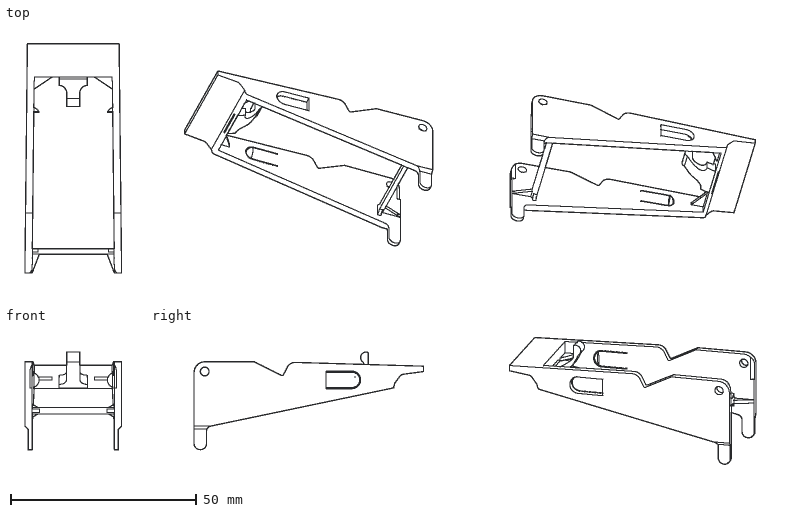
import cadquery as cq
import math


length = 62.05
front_half_width = 26.21 / 2
rear_half_width = 12.43
arm_thickness = 2.0
bridge_front_y = 53.0

rear_top_z = 22.62
rear_bottom_z = 21.1
front_top_z = 23.8
front_corner_radius = 3.0
notch_front_y = 16.3
notch_bottom = (24.0, 19.95)
notch_bottom_radius = 0.35
notch_rear = (25.9, 23.68)
notch_rear_radius = 2.4
lip_front = (56.0, 20.3)
lip_front_radius = 1.2
belly_shoulder = (54.3, 18.0)
belly_rear = (54.0, 16.7)
belly_rear_radius = 1.0
belly_slope = math.tan(math.radians(11.8))

foot_length = 3.42
foot_root_radius = 1.4
foot_tip_flat = 0.01
foot_relief_depth = 0.9
foot_relief_z = 5.55

pivot_y = 2.9
pivot_z = 21.15
pivot_diameter = 2.3
edge_relief_x = 0.6
edge_relief_y = 1.0
edge_relief_bottom_z = 16.75

window_radius = 2.33
window_front_y = 35.75
window_rear_y = 45.0
window_z = 18.88
tongue_thickness = 0.5
tongue_gap = 0.2
lug_radius = 2.25
lug_center_depth = 0.7
lug_front_y = 43.46
lug_slope_bottom_z = 19.3
lug_slope_angle = 10

rod_y = 6.0
rod_z = 10.55
rod_radius = 0.9
rod_rear_y = 6.65
web_thickness = 0.95
upright_web_half_height = 1.8
upright_web_reach = 2.9
flat_web_reach = 1.9

corner_web_x = 4.85
corner_web_y = 3.3
corner_web_bottom_z = 18.8
corner_web_thickness = 0.9

hook_root_width = 7.66
hook_tip_width = 3.6
hook_root_front_y = 50.7
hook_flare_radius = (hook_root_width - hook_tip_width) / 2

hook_bottom_z = 16.75
hook_belly = (49.3, 18.6)
hook_belly_end = (47.0, 21.2)
hook_nose_bottom = (45.7, 23.65)
hook_nose_tip = (45.05, 24.65)
hook_top_z = 26.44
hook_crest_y = 46.6
hook_back_y = 47.14
hook_back_radius = hook_back_y - hook_crest_y
hook_neck_top = (hook_back_y, 23.3)
hook_neck = (47.45, 22.4)
hook_neck_bottom = (48.1, 21.7)
hook_trough = (50.3, 20.3)
hook_trough_end = (52.4, 19.65)
hook_root_top_z = 19.85

span = 2 * front_half_width
embed_depth = arm_thickness / 2
clearance = 1.0


def outer_x(y):
    """Half width over the outer arm faces at a given Y."""
    return front_half_width + (rear_half_width - front_half_width) * y / length


def inner_x(y):
    """Half width between the inner arm faces at a given Y."""
    return outer_x(y) - arm_thickness


def across(profile, width):
    """Extrude a YZ profile symmetrically in X."""
    return profile.extrude(width / 2, both=True)


def both_sides(body):
    """Add the mirror image of a body on the -X side."""
    return body.union(body.mirror("YZ"))


def make_frame():
    """Side profile across the full width, trimmed to a tapered U in plan."""
    foot_root_z = belly_rear[1] - belly_slope * (belly_rear[0] - foot_length)
    profile = (
        cq.Workplane("YZ")
        .moveTo(0, 0)
        .lineTo(0, front_top_z)
        .lineTo(notch_front_y, front_top_z)
        .lineTo(*notch_bottom)
        .lineTo(*notch_rear)
        .lineTo(length, rear_top_z)
        .lineTo(length, rear_bottom_z)
        .lineTo(*lip_front)
        .lineTo(*belly_shoulder)
        .lineTo(*belly_rear)
        .lineTo(foot_length, foot_root_z)
        .lineTo(foot_length, 0)
        .close()
    )
    blank = across(profile, span)

    def round_edge(body, y, z, radius):
        nearest = cq.selectors.NearestToPointSelector((0, y, z))
        return body.edges("|X").edges(nearest).fillet(radius)

    foot_tip_radius = foot_length / 2 - foot_tip_flat / 2
    rounded_corners = [
        (0, front_top_z, front_corner_radius),
        (*notch_bottom, notch_bottom_radius),
        (*notch_rear, notch_rear_radius),
        (*lip_front, lip_front_radius),
        (*belly_rear, belly_rear_radius),
        (foot_length, foot_root_z, foot_root_radius),
        (0, 0, foot_tip_radius),
        (foot_length, 0, foot_tip_radius),
    ]
    for y, z, radius in rounded_corners:
        blank = round_edge(blank, y, z, radius)

    plan = (
        cq.Workplane("XY")
        .polyline([
            (-outer_x(0), 0),
            (-outer_x(length), length),
            (outer_x(length), length),
            (outer_x(0), 0),
            (inner_x(0), 0),
            (inner_x(bridge_front_y), bridge_front_y),
            (-inner_x(bridge_front_y), bridge_front_y),
            (-inner_x(0), 0),
        ])
        .close()
        .extrude(hook_top_z)
    )
    return blank.intersect(plan)


def make_foot_relief():
    """Material removed from the outside of the +X foot, ending in a 45 degree slope."""
    relief_x = front_half_width - foot_relief_depth
    outside_x = front_half_width + clearance
    return (
        cq.Workplane("XZ")
        .polyline([
            (relief_x, -clearance),
            (relief_x, foot_relief_z),
            (outside_x, foot_relief_z + outside_x - relief_x),
            (outside_x, -clearance),
        ])
        .close()
        .extrude(-2 * foot_length)
    )


def make_edge_relief():
    """Bevel on the inner front edge of the +X arm, above a flat step."""
    return (
        cq.Workplane("XY", origin=(0, 0, edge_relief_bottom_z))
        .polyline([
            (inner_x(0) + edge_relief_x, 0),
            (inner_x(edge_relief_y), edge_relief_y),
            (inner_x(0) - clearance, 0),
        ])
        .close()
        .extrude(hook_top_z - edge_relief_bottom_z)
    )


def make_window(radius):
    """Bar along X with a round rear end, centred on the window."""
    center_y = window_rear_y - window_radius
    profile = (
        cq.Workplane("YZ")
        .moveTo(window_front_y, window_z - radius)
        .lineTo(center_y, window_z - radius)
        .threePointArc((center_y + radius, window_z), (center_y, window_z + radius))
        .lineTo(window_front_y, window_z + radius)
        .close()
    )
    return profile.extrude(span)


def make_tongue():
    """Thin tongue flush with the inner face of the +X arm, with a domed lug at its end.

    The lug stops at a face that is upright below and leans back above.
    """
    skin = (
        cq.Workplane("XY")
        .polyline([
            (inner_x(0), 0),
            (inner_x(length), length),
            (inner_x(length) + tongue_thickness, length),
            (inner_x(0) + tongue_thickness, 0),
        ])
        .close()
        .extrude(hook_top_z)
    )
    tongue = make_window(window_radius - tongue_gap).intersect(skin)
    lug_y = window_rear_y - window_radius
    lug_x = inner_x(lug_y) + lug_center_depth
    dome = cq.Workplane("XY").sphere(lug_radius).translate((lug_x, lug_y, window_z))
    slope_run = lug_radius * math.tan(math.radians(lug_slope_angle))
    behind_stop_face = (
        cq.Workplane("YZ")
        .polyline([
            (lug_front_y, 0),
            (lug_front_y, lug_slope_bottom_z),
            (lug_front_y + slope_run, lug_slope_bottom_z + lug_radius),
            (length, lug_slope_bottom_z + lug_radius),
            (length, 0),
        ])
        .close()
        .extrude(inner_x(lug_y) + tongue_thickness / 2)
    )
    return tongue.union(dome.intersect(behind_stop_face))


def make_rod():
    """Cross rod with a round front and a flat back."""
    profile = (
        cq.Workplane("YZ")
        .moveTo(rod_rear_y, rod_z - rod_radius)
        .lineTo(rod_y, rod_z - rod_radius)
        .threePointArc((rod_y - rod_radius, rod_z), (rod_y, rod_z + rod_radius))
        .lineTo(rod_rear_y, rod_z + rod_radius)
        .close()
    )
    return across(profile, 2 * (inner_x(rod_y) + embed_depth))


def make_rod_webs():
    """Upright and flat triangular webs at the +X end of the rod."""
    root_x = inner_x(rod_y)
    embed_x = root_x + embed_depth
    upright = (
        cq.Workplane("XZ", origin=(0, rod_rear_y, rod_z))
        .polyline([
            (embed_x, upright_web_half_height),
            (root_x, upright_web_half_height),
            (root_x - upright_web_reach, 0),
            (root_x, -upright_web_half_height),
            (embed_x, -upright_web_half_height),
        ])
        .close()
        .extrude(web_thickness)
    )
    flat = (
        cq.Workplane("XY", origin=(0, 0, rod_z - web_thickness / 2))
        .polyline([
            (embed_x, 0),
            (inner_x(0), 0),
            (root_x - flat_web_reach, rod_y - rod_radius),
            (root_x - flat_web_reach, rod_y),
            (embed_x, rod_y),
        ])
        .close()
        .extrude(web_thickness)
    )
    return upright.union(flat)


def make_corner_web():
    """Triangular web between the bridge and the +X arm."""
    corner_x = inner_x(bridge_front_y)
    web_front_y = bridge_front_y - corner_web_y
    return (
        cq.Workplane("XY", origin=(0, 0, corner_web_bottom_z))
        .polyline([
            (corner_x - corner_web_x, bridge_front_y + embed_depth),
            (corner_x - corner_web_x, bridge_front_y),
            (inner_x(web_front_y), web_front_y),
            (corner_x + embed_depth, web_front_y),
            (corner_x + embed_depth, bridge_front_y + embed_depth),
        ])
        .close()
        .extrude(corner_web_thickness)
    )


def make_hook():
    """Upswept hook: a curved side profile trimmed to a flared outline in plan."""
    root_y = bridge_front_y + embed_depth
    profile = (
        cq.Workplane("YZ")
        .moveTo(root_y, hook_bottom_z)
        .lineTo(bridge_front_y, hook_bottom_z)
        .threePointArc(hook_belly, hook_belly_end)
        .lineTo(*hook_nose_bottom)
        .threePointArc(hook_nose_tip, (hook_crest_y, hook_top_z))
        .radiusArc((hook_back_y, hook_top_z - hook_back_radius), hook_back_radius)
        .lineTo(*hook_neck_top)
        .threePointArc(hook_neck, hook_neck_bottom)
        .threePointArc(hook_trough, hook_trough_end)
        .lineTo(bridge_front_y, hook_root_top_z)
        .lineTo(root_y, hook_root_top_z)
        .close()
    )
    root_x = hook_root_width / 2
    tip_x = hook_tip_width / 2
    flare_front_y = hook_root_front_y - hook_flare_radius
    bend = hook_flare_radius * (1 - math.sqrt(0.5))
    plan = (
        cq.Workplane("XY")
        .moveTo(-root_x, root_y)
        .lineTo(-root_x, hook_root_front_y)
        .threePointArc((-tip_x - bend, hook_root_front_y - bend), (-tip_x, flare_front_y))
        .lineTo(-tip_x, 0)
        .lineTo(tip_x, 0)
        .lineTo(tip_x, flare_front_y)
        .threePointArc((tip_x + bend, hook_root_front_y - bend), (root_x, hook_root_front_y))
        .lineTo(root_x, root_y)
        .close()
        .extrude(2 * hook_top_z)
    )
    return across(profile, hook_root_width).intersect(plan)


pivot_hole = across(cq.Workplane("YZ").center(pivot_y, pivot_z).circle(pivot_diameter / 2), 2 * span)

result = make_frame().cut(pivot_hole)
for removed in (make_foot_relief(), make_edge_relief(), make_window(window_radius)):
    result = result.cut(both_sides(removed))
for added in (make_tongue(), make_rod_webs(), make_corner_web()):
    result = result.union(both_sides(added))
result = result.union(make_rod()).union(make_hook())